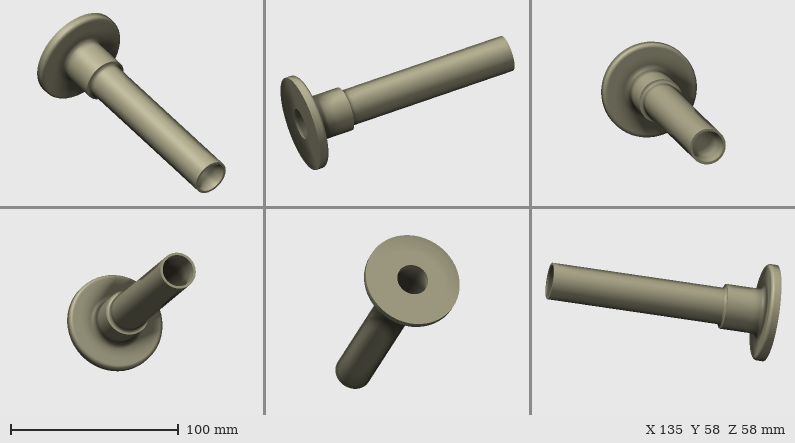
import cadquery as cq

total_length = 135.0
flange_diameter = 58.0
flange_thickness = 6.0
collar_diameter = 27.0
collar_end = 29.0
tube_diameter = 22.0
bore_diameter = 19.0

flange_rim_radius = 2.2
flange_root_radius = 3.1
tube_root_radius = 2.0


def outer_body():
    """Revolve the flange, collar and tube about the X axis."""
    flange_radius = flange_diameter / 2
    collar_radius = collar_diameter / 2
    tube_radius = tube_diameter / 2
    profile = (
        cq.Workplane("XY")
        .lineTo(0, flange_radius)
        .lineTo(flange_thickness - flange_rim_radius, flange_radius)
        .radiusArc((flange_thickness, flange_radius - flange_rim_radius), flange_rim_radius)
        .lineTo(flange_thickness, collar_radius + flange_root_radius)
        .radiusArc((flange_thickness + flange_root_radius, collar_radius), -flange_root_radius)
        .lineTo(collar_end, collar_radius)
        .lineTo(collar_end, tube_radius + tube_root_radius)
        .radiusArc((collar_end + tube_root_radius, tube_radius), -tube_root_radius)
        .lineTo(total_length, tube_radius)
        .lineTo(total_length, 0)
        .close()
    )
    return profile.revolve(360, (0, 0, 0), (1, 0, 0))


bore = cq.Workplane("YZ").circle(bore_diameter / 2).extrude(total_length)

result = outer_body().cut(bore)